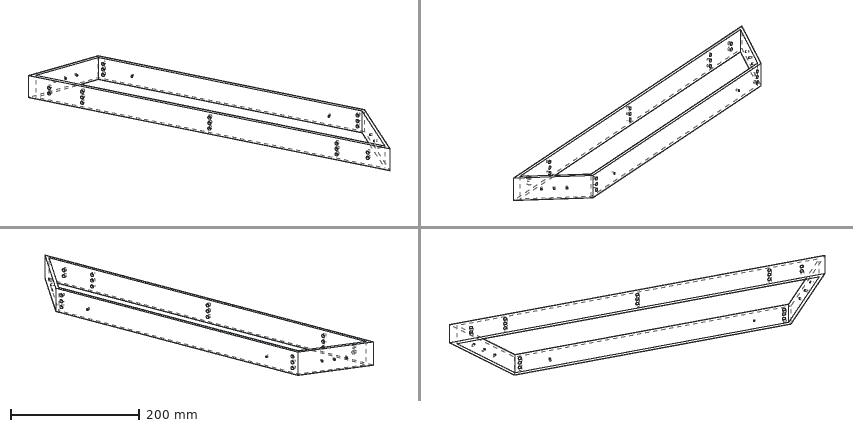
import cadquery as cq
import math

frame_length = 604.88
frame_depth = 95.0
frame_height = 40.0
wall = 5.0
side_angle = 50.0

large_hole_dia = 5.1
large_hole_pitch = 10.0
column_inset = 10.0
left_pair_x = -268.0
right_pair_x = 265.0

small_hole_dia = 2.7
back_single_inset = 58.0
back_single_z = 17.5
side_row_pitch = 20.0
side_row_y = 47.2
side_row_z = 18.4

angle = math.radians(side_angle)
half_length = frame_length / 2
mid_height = frame_height / 2
wall_along_x = wall / math.sin(angle)
back_half_length = half_length - frame_depth / math.tan(angle)
column_x = back_half_length - column_inset
back_single_x = back_half_length - back_single_inset


def outer_half_width(y):
    """Distance from the centre plane to the outer face of a side wall at depth y."""
    return half_length - y / math.tan(angle)


def trapezoid(y_front, y_back, inset):
    """Full-height trapezoidal prism whose sides lie `inset` inside the outer faces, along X."""
    front_half = outer_half_width(y_front) - inset
    back_half = outer_half_width(y_back) - inset
    corners = [
        (-front_half, y_front),
        (front_half, y_front),
        (back_half, y_back),
        (-back_half, y_back),
    ]
    return cq.Workplane("XY").polyline(corners).close().extrude(frame_height)


def hole_cutter(centre, direction, diameter):
    """Cylinder centred in a wall and long enough to pass through that wall only."""
    length = 3 * wall
    axis = cq.Vector(*direction).normalized()
    start = cq.Vector(*centre) - axis * (length / 2)
    return cq.Workplane(cq.Solid.makeCylinder(diameter / 2, length, start, axis))


def centred_offsets(count, pitch):
    """Evenly spaced offsets, symmetric about zero."""
    return [(i - (count - 1) / 2) * pitch for i in range(count)]


def drill_column(body, x, y, count):
    """Vertical column of large holes along Y through the wall centred at depth y."""
    for dz in centred_offsets(count, large_hole_pitch):
        body = body.cut(hole_cutter((x, y, mid_height + dz), (0, 1, 0), large_hole_dia))
    return body


def drill_front_wall(body):
    """Three columns of three large holes and a pair of large holes near each end."""
    y = wall / 2
    for x in (-column_x, 0, column_x):
        body = drill_column(body, x, y, 3)
    for x in (left_pair_x, right_pair_x):
        body = drill_column(body, x, y, 2)
    return body


def drill_back_wall(body):
    """A column of three large holes and a single small hole towards each end."""
    y = frame_depth - wall / 2
    for side in (-1, 1):
        body = drill_column(body, side * column_x, y, 3)
        single_centre = (side * back_single_x, y, back_single_z)
        body = body.cut(hole_cutter(single_centre, (0, 1, 0), small_hole_dia))
    return body


def drill_side_walls(body):
    """Horizontal row of three small holes square to each side wall."""
    for side in (-1, 1):
        normal = (side * math.sin(angle), math.cos(angle), 0)
        for along in centred_offsets(3, side_row_pitch):
            y = side_row_y + along * math.sin(angle)
            x = side * (outer_half_width(y) - wall_along_x / 2)
            body = body.cut(hole_cutter((x, y, side_row_z), normal, small_hole_dia))
    return body


frame = trapezoid(0, frame_depth, 0).cut(trapezoid(wall, frame_depth - wall, wall_along_x))
frame = drill_front_wall(frame)
frame = drill_back_wall(frame)
result = drill_side_walls(frame)